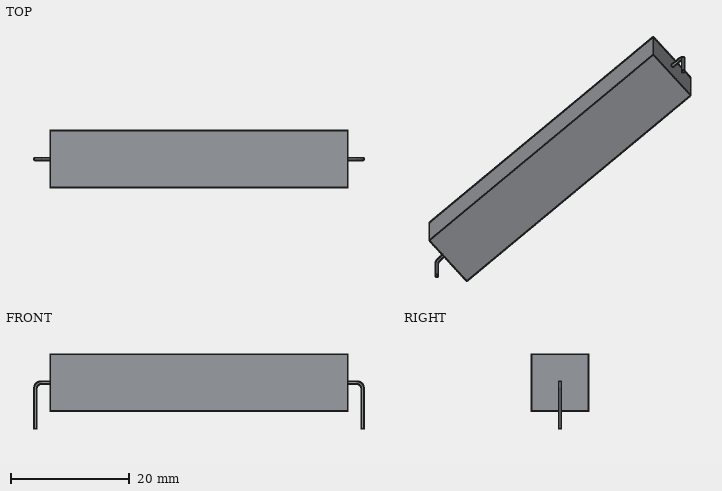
import cadquery as cq

overall_length = 55.5
overall_height = 12.6

body_length = 50.0
body_side = 9.6

lead_diameter = 0.5
bend_radius = 1.0

body_end = body_length / 2
lead_x = (overall_length - lead_diameter) / 2
lead_tip_z = body_side / 2 - overall_height
lead_embed = 0.55


def make_lead(side):
    """Bent lead on the +X (side=1) or -X (side=-1) end of the body."""
    start_x = body_end - lead_embed
    bend_start_x = lead_x - bend_radius
    path = (
        cq.Workplane("XZ")
        .moveTo(side * start_x, 0)
        .lineTo(side * bend_start_x, 0)
        .tangentArcPoint((side * lead_x, -bend_radius), relative=False)
        .lineTo(side * lead_x, lead_tip_z)
    )
    profile = cq.Workplane("YZ", origin=(side * start_x, 0, 0)).circle(lead_diameter / 2)
    return profile.sweep(path)


result = cq.Workplane("XY").box(body_length, body_side, body_side)
for side in (-1, 1):
    result = result.union(make_lead(side))